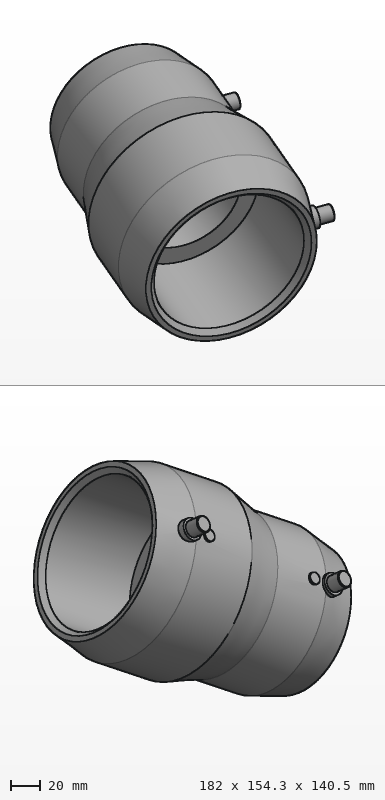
import cadquery as cq

length = 182.0
end_taper = 29.0
neck_start = 72.0
neck_end = 103.5

small_radius = 60.25
large_radius = 70.25
end_drop = 7.5

small_socket_radius = 45.0
large_socket_radius = 55.0
lead_in_rise = 3.75
lead_in_length = 4.0
stop_radius = 41.6

terminal_inset = 24.0
terminal_radius = 6.0
terminal_height = 13.75
terminal_chamfer = 0.6
collar_radius = 8.0
collar_height = 2.0
indicator_inset = 40.0
indicator_radius = 4.25
indicator_height = 1.5


def sleeve():
    """Reducing sleeve revolved about the X axis, with a socket at each end."""
    small_end = small_radius - end_drop
    large_end = large_radius - end_drop
    profile = [
        (0, small_end),
        (end_taper, small_radius),
        (neck_start, small_radius),
        (neck_end, large_radius),
        (length - end_taper, large_radius),
        (length, large_end),
        (length, large_socket_radius + lead_in_rise),
        (length - lead_in_length, large_socket_radius),
        (neck_end, large_socket_radius),
        (neck_end, stop_radius),
        (neck_start, stop_radius),
        (neck_start, small_socket_radius),
        (lead_in_length, small_socket_radius),
        (0, small_socket_radius + lead_in_rise),
    ]
    return cq.Workplane("XY").polyline(profile).close().revolve(360, (0, 0, 0), (1, 0, 0))


def post(x, radius, bottom, top):
    """Round post along +Y at the given X, between two distances from the sleeve axis."""
    base = cq.Workplane("XZ", origin=(x, bottom, 0)).circle(radius)
    return base.extrude(bottom - top)


def fittings(end_x, inward, barrel_radius, socket_radius):
    """Collared terminal and fusion indicator near one end; inward is +1 or -1 along X."""
    root = (barrel_radius - end_drop + socket_radius) / 2
    terminal_x = end_x + inward * terminal_inset
    indicator_x = end_x + inward * indicator_inset
    terminal = post(terminal_x, terminal_radius, root, barrel_radius + terminal_height)
    terminal = terminal.faces(">Y").chamfer(terminal_chamfer)
    collar = post(terminal_x, collar_radius, root, barrel_radius + collar_height)
    indicator = post(indicator_x, indicator_radius, root, barrel_radius + indicator_height)
    return terminal.union(collar).union(indicator)


result = (
    sleeve()
    .union(fittings(0, 1, small_radius, small_socket_radius))
    .union(fittings(length, -1, large_radius, large_socket_radius))
)